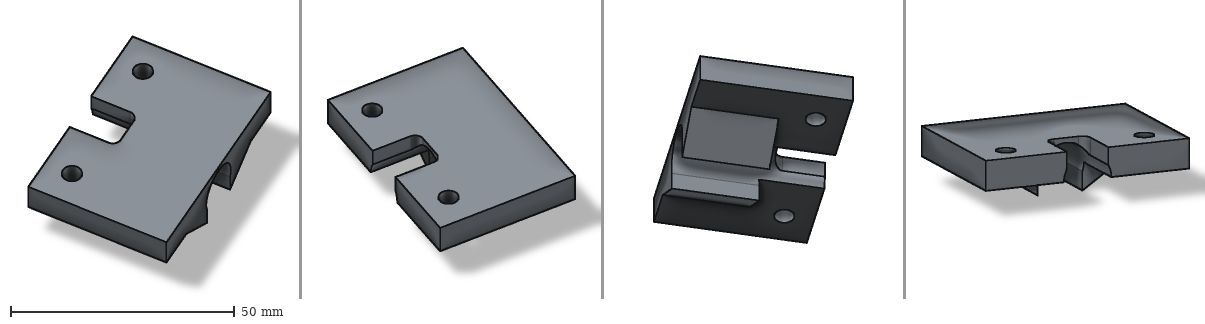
import cadquery as cq

length = 35.0
width = 50.0
plate_thickness = 7.0

jaw_height = 6.5
jaw_start = 15.0
jaw_root_half_width = 15.5

bore_radius = 5.85
throat_width = 11.0

notch_depth = 11.85
notch_width = 10.2
notch_corner_radius = 2.0

hole_diameter = 4.55
hole_x = 6.85
hole_spacing = 34.0


def plate():
    """Flat plate with its underside on Z = 0 and its -X edge on X = 0."""
    return cq.Workplane("XY").box(length, width, plate_thickness, centered=(False, True, False))


def jaws():
    """Triangular jaws running from jaw_start to the +X end, with their tips on the throat walls."""
    profile = cq.Workplane("YZ", origin=(jaw_start, 0, 0))
    tip_y = throat_width / 2
    for side in (-1, 1):
        profile = (
            profile.moveTo(side * tip_y, 0)
            .lineTo(side * jaw_root_half_width, 0)
            .lineTo(side * tip_y, -jaw_height)
            .close()
        )
    return profile.extrude(length - jaw_start)


def bore():
    """Cutter along the full length, centred on the plate underside."""
    return cq.Workplane("YZ").circle(bore_radius).extrude(length)


def notch():
    """Cutter for the edge notch, with its two inner corners rounded."""
    return (
        cq.Workplane("XY")
        .box(notch_depth, notch_width, plate_thickness, centered=(False, True, False))
        .edges("|Z and >X")
        .fillet(notch_corner_radius)
    )


def mounting_holes():
    """Cutters for the two through holes beside the notch."""
    hole_points = [(hole_x, side * hole_spacing / 2) for side in (-1, 1)]
    return cq.Workplane("XY").pushPoints(hole_points).circle(hole_diameter / 2).extrude(plate_thickness)


result = plate().union(jaws()).cut(bore()).cut(notch()).cut(mounting_holes())